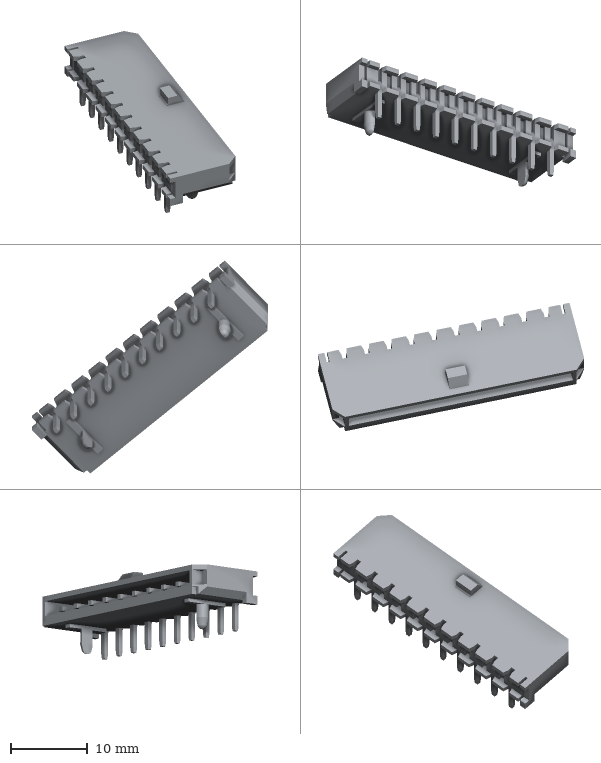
import cadquery as cq
import math


LENGTH = 33.65
DEPTH = 9.9
HEIGHT = 8.75

ROOF_Z = 7.55
ROOF_THICK = 0.67
CEILING_Z = ROOF_Z - ROOF_THICK
BASE_Z = 3.67
FRONT_Y = 0.75
SHELF_THICK = 0.65
SHELF_Z = BASE_Z + SHELF_THICK
CORNER_X = 1.35
CORNER_Y = 1.45
CORNER_START_Y = DEPTH - CORNER_Y
EDGE_X = 0.8
EDGE_Z = 0.95
EDGE_TOP_Z = BASE_Z + EDGE_Z
NOTCH_LENGTH = 0.65

SIDE_WALL = 0.87
FRONT_WALL = 1.45
FLOOR_Z = 4.9
SILL_DEPTH = 0.75
SILL_Z = 5.95
PARTITION = 0.5

FOOT_Z = 3.2
FOOT_DEPTH = 1.85
END_SLOT = 0.37

PIN_COUNT = 10
PIN_SPAN = 27.02
PITCH = PIN_SPAN / (PIN_COUNT - 1)
PIN = 0.65
PIN_TOP_Z = 6.12
PIN_BEND = 1.38
PIN_END_Y = 8.4
TIP_LENGTH = 0.7
TIP_TAPER = 0.07
PIN_BACK_Y = FRONT_Y + PIN
MOUTH = 1.08
GROOVE_WIDTH = 0.8
GROOVE_DEPTH = 0.5

PEG_RADIUS = 0.9
PEG_FLAT_X = 11.85
PEG_Y = 5.3
TIP_TOP_Z = 1.45
TIP_BARB = 0.07
NOSE_Z = 0.4
NOSE_RADIUS = 0.7
NOSE_MID = (0.55, 0.17)
NOSE_END_RADIUS = 0.27
PAD_Z = FOOT_Z
PAD_FRONT_Y = 2.12
PAD_BACK_Y = 8.25

LATCH_WIDTH = 2.6
LATCH_FRONT_Y = 6.63
LATCH_TOP_Y = 7.98
LATCH_BACK_Y = 9.0
LATCH_TOE = 0.2

HALF = LENGTH / 2
PIN_XS = [(i - (PIN_COUNT - 1) / 2) * PITCH for i in range(PIN_COUNT)]
GROOVE_XS = [x + PITCH / 2 for x in PIN_XS[:-1]]


def block(x0, x1, y0, y1, z0, z1):
    """Box between two opposite corners."""
    return cq.Workplane("XY").box(x1 - x0, y1 - y0, z1 - z0, centered=False).translate((x0, y0, z0))


def both_ends(solid):
    """A left-end solid together with its mirror image at the right end."""
    return solid.union(solid.mirror("YZ"))


def shell():
    """Outer body: lips, feet, chamfered corners and lower edges."""
    body = block(-HALF, HALF, 0, DEPTH, BASE_Z, ROOF_Z)
    edge = (
        cq.Workplane("XZ")
        .polyline([(-HALF, BASE_Z), (-HALF + EDGE_X, BASE_Z), (-HALF, EDGE_TOP_Z)])
        .close()
        .extrude(-DEPTH)
    )
    body = body.cut(both_ends(edge))
    foot = block(-HALF, -HALF + SIDE_WALL, 0, FOOT_DEPTH, FOOT_Z, CEILING_Z)
    body = body.union(both_ends(foot))

    corner = (
        cq.Workplane("XY")
        .polyline([(-HALF, DEPTH), (-HALF + CORNER_X, DEPTH), (-HALF, CORNER_START_Y)])
        .close()
        .extrude(HEIGHT)
    )
    body = body.cut(both_ends(corner))
    notch = block(-HALF, -HALF + CORNER_X, DEPTH - NOTCH_LENGTH, DEPTH, BASE_Z, EDGE_TOP_Z)
    body = body.cut(both_ends(notch))

    inner = HALF - SIDE_WALL
    body = body.cut(block(-inner, inner, 0, FRONT_Y, SHELF_Z, CEILING_Z))
    foot_recess = block(-HALF, -inner, 0, FRONT_Y, SHELF_Z, CEILING_Z)
    return body.cut(both_ends(foot_recess))


def cavity():
    """Space for the mating plug, with a partition and open corner at each end."""
    inner = HALF - SIDE_WALL
    wall_back_y = FRONT_WALL + SILL_DEPTH
    space = block(-inner, inner, wall_back_y, DEPTH, FLOOR_Z, CEILING_Z)
    partition_x = -HALF + CORNER_X
    partition = block(partition_x, partition_x + PARTITION, wall_back_y, DEPTH, FLOOR_Z, CEILING_Z)
    space = space.cut(both_ends(partition))
    open_corner = block(-HALF, partition_x, CORNER_START_Y, DEPTH, FLOOR_Z, CEILING_Z)
    return space.union(both_ends(open_corner))


def end_slots():
    """Slots beside the feet, each with a window into the cavity."""
    x0 = -HALF + SIDE_WALL
    x1 = x0 + END_SLOT
    slot = block(x0, x1, 0, FRONT_WALL, 0, ROOF_Z)
    window = block(x0, x1, FRONT_WALL, FRONT_WALL + SILL_DEPTH, SILL_Z, CEILING_Z)
    return both_ends(slot.union(window))


def pin_slot(x):
    """Slot for one pin, flaring at the front of the lips."""
    return (
        cq.Workplane("XY")
        .polyline([
            (x - MOUTH / 2, 0),
            (x + MOUTH / 2, 0),
            (x + PIN / 2, FRONT_Y),
            (x + PIN / 2, PIN_BACK_Y),
            (x - PIN / 2, PIN_BACK_Y),
            (x - PIN / 2, FRONT_Y),
        ])
        .close()
        .extrude(ROOF_Z)
    )


def groove(x):
    """Shallow upright groove in the front face between two pins."""
    return block(
        x - GROOVE_WIDTH / 2, x + GROOVE_WIDTH / 2,
        FRONT_Y, FRONT_Y + GROOVE_DEPTH,
        SHELF_Z, CEILING_Z,
    )


def pin(x):
    """Square pin, running forward out of the cavity and bent down to a tapered tip."""
    bend_y = FRONT_Y + PIN_BEND
    bend_z = PIN_TOP_Z - PIN_BEND
    inner_bend = PIN_BEND - PIN
    outer_mid = PIN_BEND * math.sqrt(0.5)
    inner_mid = inner_bend * math.sqrt(0.5)
    shank = (
        cq.Workplane("YZ")
        .moveTo(FRONT_Y, TIP_LENGTH)
        .lineTo(FRONT_Y, bend_z)
        .threePointArc((bend_y - outer_mid, bend_z + outer_mid), (bend_y, PIN_TOP_Z))
        .lineTo(PIN_END_Y, PIN_TOP_Z)
        .lineTo(PIN_END_Y, PIN_TOP_Z - PIN)
        .lineTo(bend_y, PIN_TOP_Z - PIN)
        .threePointArc((bend_y - inner_mid, bend_z + inner_mid), (PIN_BACK_Y, bend_z))
        .lineTo(PIN_BACK_Y, TIP_LENGTH)
        .close()
        .extrude(PIN / 2, both=True)
        .translate((x, 0, 0))
    )
    tip_size = PIN - 2 * TIP_TAPER
    tip = (
        cq.Workplane("XY")
        .center(x, FRONT_Y + PIN / 2)
        .rect(tip_size, tip_size)
        .workplane(offset=TIP_LENGTH)
        .rect(PIN, PIN)
        .loft()
    )
    return shank.union(tip)


def peg():
    """Left board peg: a half-round post with a barbed, tapered tip, under a long pad."""
    post = (
        cq.Workplane("XZ")
        .moveTo(0, 0)
        .lineTo(NOSE_END_RADIUS, 0)
        .threePointArc(NOSE_MID, (NOSE_RADIUS, NOSE_Z))
        .lineTo(PEG_RADIUS + TIP_BARB, TIP_TOP_Z)
        .lineTo(PEG_RADIUS, TIP_TOP_Z)
        .lineTo(PEG_RADIUS, BASE_Z)
        .lineTo(0, BASE_Z)
        .close()
        .revolve(360, (0, 0), (0, 1))
        .translate((-PEG_FLAT_X, PEG_Y, 0))
    )
    outer_half = block(-HALF, -PEG_FLAT_X, PEG_Y - PEG_RADIUS, PEG_Y + PEG_RADIUS, 0, BASE_Z)
    pad = block(-PEG_FLAT_X - PEG_RADIUS, -PEG_FLAT_X, PAD_FRONT_Y, PAD_BACK_Y, PAD_Z, BASE_Z)
    return post.intersect(outer_half).union(pad)


def latch():
    """Ramp on the roof that the plug's latch snaps over."""
    return (
        cq.Workplane("YZ")
        .polyline([
            (LATCH_FRONT_Y - LATCH_TOE, ROOF_Z),
            (LATCH_FRONT_Y, ROOF_Z + LATCH_TOE),
            (LATCH_FRONT_Y, HEIGHT),
            (LATCH_TOP_Y, HEIGHT),
            (LATCH_BACK_Y, ROOF_Z),
        ])
        .close()
        .extrude(LATCH_WIDTH / 2, both=True)
    )


result = shell().cut(cavity()).cut(end_slots())
for slot_x in PIN_XS:
    result = result.cut(pin_slot(slot_x))
for groove_x in GROOVE_XS:
    result = result.cut(groove(groove_x))
for pin_x in PIN_XS:
    result = result.union(pin(pin_x))
result = result.union(both_ends(peg())).union(latch())